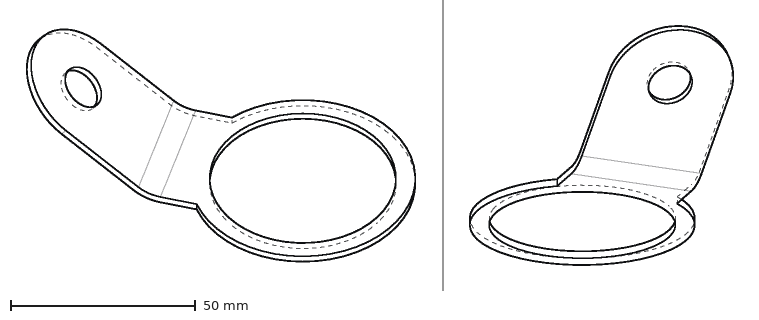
import cadquery as cq
import math

thickness = 2.0
ring_diameter = 60.9
ring_hole_diameter = 50.4

tab_width = 35.1
tab_hole_diameter = 12.1
bend_start = -35.2
bend_angle = 38.0
bend_inner_radius = 10.0
overall_length = 107.2

angle = math.radians(bend_angle)
bend_outer_radius = bend_inner_radius + thickness
end_radius = tab_width / 2

bend_run = bend_outer_radius * math.sin(angle)
bend_rise = bend_outer_radius * (1 - math.cos(angle))
tip_x = ring_diameter / 2 - overall_length
tab_length = (bend_start - bend_run - tip_x) / math.cos(angle)


def make_ring_and_neck():
    """Flat ring with a neck reaching to the start of the bend."""
    ring = cq.Workplane("XY").circle(ring_diameter / 2).extrude(thickness)
    neck = (
        cq.Workplane("XY")
        .center(bend_start / 2, 0)
        .rect(-bend_start, tab_width)
        .extrude(thickness)
    )
    opening = cq.Workplane("XY").circle(ring_hole_diameter / 2).extrude(thickness)
    return ring.union(neck).cut(opening)


def make_bend():
    """Annular sector joining the flat neck to the raised tab."""
    def bend_point(radius, turn):
        return (bend_start - radius * math.sin(turn), bend_outer_radius - radius * math.cos(turn))

    return (
        cq.Workplane("XZ")
        .moveTo(*bend_point(bend_outer_radius, 0))
        .threePointArc(bend_point(bend_outer_radius, angle / 2), bend_point(bend_outer_radius, angle))
        .lineTo(*bend_point(bend_inner_radius, angle))
        .threePointArc(bend_point(bend_inner_radius, angle / 2), bend_point(bend_inner_radius, 0))
        .close()
        .extrude(tab_width / 2, both=True)
    )


def make_tab():
    """Sloping plate with a full-round end and a concentric hole."""
    slope = cq.Plane(
        origin=(bend_start - bend_run, 0, bend_rise),
        xDir=(-math.cos(angle), 0, math.sin(angle)),
        normal=(math.sin(angle), 0, math.cos(angle)),
    )
    straight_length = tab_length - end_radius
    plate = (
        cq.Workplane(slope)
        .moveTo(0, -end_radius)
        .lineTo(straight_length, -end_radius)
        .threePointArc((tab_length, 0), (straight_length, end_radius))
        .lineTo(0, end_radius)
        .close()
        .extrude(thickness)
    )
    hole = (
        cq.Workplane(slope)
        .center(straight_length, 0)
        .circle(tab_hole_diameter / 2)
        .extrude(thickness)
    )
    return plate.cut(hole)


result = make_ring_and_neck().union(make_bend()).union(make_tab())